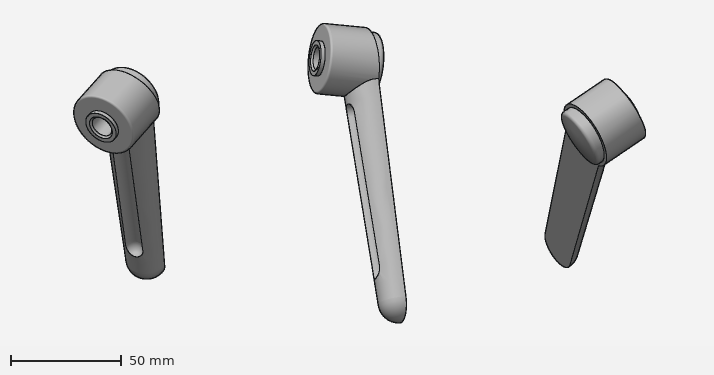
import cadquery as cq
import math

quarter_arc_middle = math.sqrt(0.5)

hub_radius = 16.0
boss_radius = 8.0
boss_length = 2.0
hub_edge_fillet = 1.0

bore_radius = 5.1
bore_chamfer = 0.9
bore_depth = 18.0
drill_tip_angle = 120.0

handle_tilt = math.radians(8.0)
rear_plane_y = 24.65

cap_radius = 14.2
cap_base_y = 16.0
cap_fillet_start_y = 26.4
cap_rim_y = 28.4
cap_peak_y = 29.6
cap_flat_inset = 1.5

handle_drop = 120.02
handle_root_radius = 12.4
handle_tip_radius = 9.5
ball_center_distance = (handle_drop - handle_tip_radius) / math.cos(handle_tilt)

groove_radius = 4.7
groove_start_distance = 23.5
groove_end_distance = 95.5

handle_plane = cq.Plane(
    origin=(0, rear_plane_y, 0),
    xDir=(-1, 0, 0),
    normal=(0, math.cos(handle_tilt), math.sin(handle_tilt)),
)


def revolve_about_y(profile):
    return profile.close().revolve(360, (0, 0, 0), (0, 1, 0))


def handle_radius(distance):
    """Radius of the handle cone at a distance along its axis from the hub axis."""
    taper = (handle_root_radius - handle_tip_radius) / ball_center_distance
    return handle_root_radius - taper * distance


def behind_rear_plane():
    """Block covering everything behind the rear plane, larger than the part."""
    size = 4 * handle_drop
    return cq.Workplane(handle_plane).rect(size, size).extrude(size)


def make_hub():
    hub = (
        cq.Workplane("XZ", origin=(0, boss_length, 0))
        .circle(hub_radius)
        .extrude(-(cap_peak_y - boss_length))
        .faces("<Y")
        .edges()
        .fillet(hub_edge_fillet)
        .cut(behind_rear_plane())
    )
    boss = cq.Workplane("XZ").circle(boss_radius).extrude(-2 * boss_length)
    return hub.union(boss)


def make_cap():
    dome_edge = cap_radius - cap_flat_inset
    dome_height = cap_peak_y - cap_rim_y
    dome_radius = (dome_edge**2 + dome_height**2) / (2 * dome_height)
    half_angle = math.asin(dome_edge / dome_radius) / 2
    dome_middle = (
        dome_radius * math.sin(half_angle),
        cap_peak_y - dome_radius * (1 - math.cos(half_angle)),
    )
    rim_height = cap_rim_y - cap_fillet_start_y
    rim_middle = (
        dome_edge + cap_flat_inset * quarter_arc_middle,
        cap_fillet_start_y + rim_height * quarter_arc_middle,
    )
    profile = (
        cq.Workplane("XY")
        .moveTo(0, cap_base_y)
        .lineTo(cap_radius, cap_base_y)
        .lineTo(cap_radius, cap_fillet_start_y)
        .threePointArc(rim_middle, (dome_edge, cap_rim_y))
        .threePointArc(dome_middle, (0, cap_peak_y))
    )
    return revolve_about_y(profile)


def make_handle():
    tip_distance = ball_center_distance + handle_tip_radius
    arc_middle = (
        handle_tip_radius * quarter_arc_middle,
        -ball_center_distance - handle_tip_radius * quarter_arc_middle,
    )
    profile = (
        cq.Workplane(handle_plane)
        .lineTo(handle_root_radius, 0)
        .lineTo(handle_tip_radius, -ball_center_distance)
        .threePointArc(arc_middle, (0, -tip_distance))
    )
    return revolve_about_y(profile).cut(behind_rear_plane())


def make_bore():
    drill_tip = bore_radius / math.tan(math.radians(drill_tip_angle / 2))
    profile = (
        cq.Workplane("XY")
        .lineTo(bore_radius + bore_chamfer, 0)
        .lineTo(bore_radius, bore_chamfer)
        .lineTo(bore_radius, bore_depth)
        .lineTo(0, bore_depth + drill_tip)
    )
    return revolve_about_y(profile)


def handle_front_point(distance):
    """Point on the front line of the handle, opposite the rear plane."""
    return handle_plane.toWorldCoords((0, -distance, -handle_radius(distance)))


def make_groove():
    """Round-ended cutter whose axis follows the front line of the handle."""
    start = handle_front_point(groove_start_distance)
    end = handle_front_point(groove_end_distance)
    axis = end - start
    cutter = cq.Workplane(cq.Solid.makeCylinder(groove_radius, axis.Length, start, axis))
    for center in (start, end):
        cutter = cutter.union(cq.Workplane("XY", origin=center.toTuple()).sphere(groove_radius))
    return cutter


result = make_hub().union(make_handle()).cut(make_groove()).union(make_cap()).cut(make_bore())